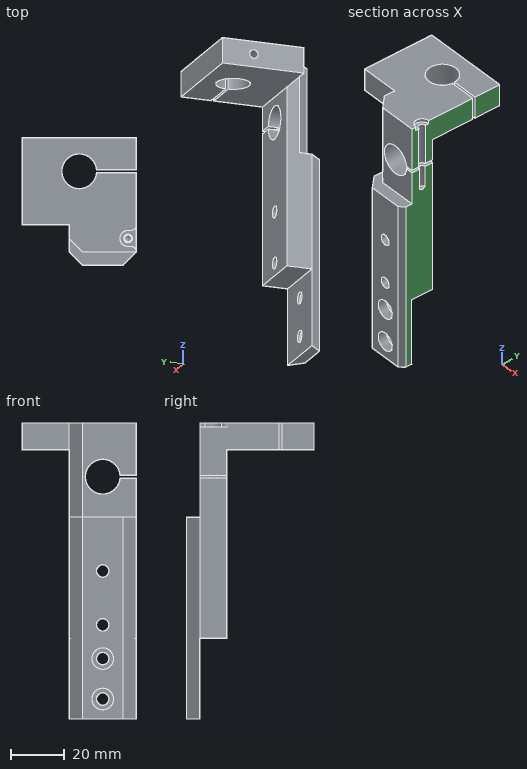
import cadquery as cq
import math


total_width = 42.42
total_depth = 47.42
total_height = 110.0

column_width = 25.0
column_thickness = 10.0
column_bottom = 30.0
column_left = total_width - column_width
column_center = total_width - column_width / 2
chamfer = 5.0

plate_thickness = chamfer
plate_height = 75.0
plate_front = -plate_thickness

arm_thickness = 10.0
arm_bottom = total_height - arm_thickness
arm_back = total_depth - plate_thickness

bore_diameter = 12.8
slot_width = 1.0
front_bore_drop = 20.0
front_bore_z = total_height - front_bore_drop
arm_bore_setback = 12.5
arm_bore_x = total_width / 2
arm_bore_y = arm_back - arm_bore_setback

plate_hole_diameter = 4.5
plate_hole_heights = (7.5, 22.5, 35.0, 55.0)
counterbore_heights = plate_hole_heights[:2]
counterbore_diameter = 8.0
counterbore_depth = 4.0

side_hole_diameter = 3.3
side_hole_depth = 10.0
drill_point_angle = 118.0

screw_clearance_diameter = 3.2
screw_tap_diameter = 2.5
screw_tap_depth = 10.0
pocket_radius = 3.0
pocket_depth = 1.5
pocket_mouth_radius = column_thickness / 2 - pocket_radius
screw_edge_distance = 3.1
screw_x = total_width - screw_edge_distance
screw_y = column_thickness / 2


def box(x_range, y_range, z_range):
    """Axis-aligned block between the given limits."""
    size = [high - low for low, high in (x_range, y_range, z_range)]
    corner = (x_range[0], y_range[0], z_range[0])
    return cq.Workplane("XY").box(*size, centered=False).translate(corner)


def cylinder(start, direction, diameter, length):
    """Round bar starting at a point and running along a direction."""
    bar = cq.Solid.makeCylinder(diameter / 2, length, cq.Vector(*start), cq.Vector(*direction))
    return cq.Workplane(bar)


def drilled_hole(start, direction, diameter, depth):
    """Blind hole cutter with a conical drill point beyond its full-diameter depth."""
    radius = diameter / 2
    point_length = radius / math.tan(math.radians(drill_point_angle / 2))
    axis = cq.Vector(*direction)
    tip_base = cq.Vector(*start) + axis * depth
    point = cq.Solid.makeCone(radius, 0, point_length, tip_base, axis)
    return cylinder(start, direction, diameter, depth).union(cq.Workplane(point))


def make_body():
    """Column, chamfered mounting plate and arm joined into one block."""
    column_x = (column_left, total_width)
    lower_column = box(column_x, (0, column_thickness), (column_bottom, plate_height))
    upper_column = box(column_x, (0, column_thickness), (plate_height, total_height))
    upper_column = upper_column.edges("|Z and <X and <Y").chamfer(chamfer)
    plate_section = [
        (column_left, 0),
        (column_left + chamfer, plate_front),
        (total_width - chamfer, plate_front),
        (total_width, 0),
    ]
    plate = cq.Workplane("XY").polyline(plate_section).close().extrude(plate_height)
    arm = box((0, total_width), (column_thickness, arm_back), (arm_bottom, total_height))
    return lower_column.union(upper_column).union(plate).union(arm)


def front_clamp():
    """Cutter for the bore along Y in the column and its slot."""
    bore = cylinder((column_center, 0, front_bore_z), (0, 1, 0), bore_diameter, column_thickness)
    slot_z = (front_bore_z - slot_width / 2, front_bore_z + slot_width / 2)
    return bore.union(box((column_center, total_width), (0, column_thickness), slot_z))


def arm_clamp():
    """Cutter for the bore along Z in the arm and its slot."""
    bore = cylinder((arm_bore_x, arm_bore_y, arm_bottom), (0, 0, 1), bore_diameter, arm_thickness)
    slot_y = (arm_bore_y - slot_width / 2, arm_bore_y + slot_width / 2)
    return bore.union(box((arm_bore_x, total_width), slot_y, (arm_bottom, total_height)))


def plate_holes(body):
    """Drill the row of through holes and counterbore the lower ones from the front."""
    for height in plate_hole_heights:
        start = (column_center, plate_front, height)
        through_length = plate_thickness + column_thickness
        body = body.cut(cylinder(start, (0, 1, 0), plate_hole_diameter, through_length))
        if height in counterbore_heights:
            body = body.cut(cylinder(start, (0, 1, 0), counterbore_diameter, counterbore_depth))
    return body


def screw_pocket():
    """Round-ended pocket cutter whose mouth flares out to the right side."""
    flare_x = total_width - pocket_mouth_radius
    mouth = pocket_radius + pocket_mouth_radius
    flare = pocket_mouth_radius * math.sin(math.radians(45))
    flare_mid_x = flare_x + flare
    flare_mid_y = mouth - flare
    return (
        cq.Workplane("XY", origin=(0, screw_y, total_height - pocket_depth))
        .moveTo(total_width, -mouth)
        .threePointArc((flare_mid_x, -flare_mid_y), (flare_x, -pocket_radius))
        .lineTo(screw_x, -pocket_radius)
        .threePointArc((screw_x - pocket_radius, 0), (screw_x, pocket_radius))
        .lineTo(flare_x, pocket_radius)
        .threePointArc((flare_mid_x, flare_mid_y), (total_width, mouth))
        .close()
        .extrude(pocket_depth)
    )


def clamp_screw():
    """Cutter for the clamp screw: clearance down to the slot, tapping size below it."""
    down = (0, 0, -1)
    clearance_length = total_height - front_bore_z
    clearance = cylinder((screw_x, screw_y, total_height), down, screw_clearance_diameter, clearance_length)
    tapped = drilled_hole((screw_x, screw_y, front_bore_z), down, screw_tap_diameter, screw_tap_depth)
    return clearance.union(tapped)


result = make_body().cut(front_clamp()).cut(arm_clamp())
result = plate_holes(result)
result = result.cut(screw_pocket()).cut(clamp_screw())
side_hole_start = (0, arm_bore_y, total_height - arm_thickness / 2)
result = result.cut(drilled_hole(side_hole_start, (1, 0, 0), side_hole_diameter, side_hole_depth))